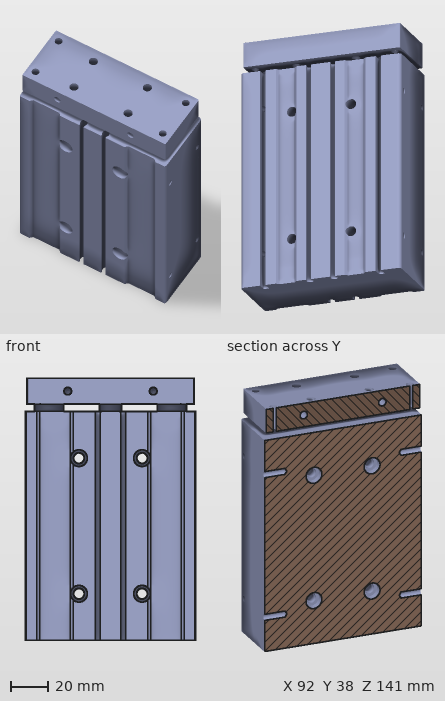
import cadquery as cq
import math

total_height = 141
plate_thickness = 14.0
rod_gap = 4.0
housing_height = total_height - plate_thickness - rod_gap
housing_width = 92.0
housing_depth = 38
half_width = housing_width / 2
half_depth = housing_depth / 2
corner_radius = 2.0
front_trim = 0.4

groove_depth = 1.5
front_groove_inner = 20.2
front_groove_outer = 39.6
back_groove_inner = 13.8
back_groove_outer = 25.7

sensor_slot_x = 6.9
sensor_slot_width = 2.8
sensor_bore_diameter = 4.0
sensor_bore_depth = 2.5
plain_slot_x = 33.1
plain_slot_width = 3.1
plain_slot_depth = 5.6

mount_x = 16.99
mount_end_distance = 25.1
mount_diameter = 5.6
mount_bore_diameter = 9.0
mount_bore_depth = 9.0

drill_point_angle = 118
side_hole_y = 14.0
side_hole_end_distance = 20.0
side_hole_diameter = 3.2
side_hole_depth = 12.0
plate_front_hole_x = 23.0
plate_front_hole_diameter = 4.1
plate_front_hole_depth = 8.5

plate_width = 90.0
plate_depth = 35.0
plate_corner_radius = 0.5
guide_rod_x = 33.0
guide_rod_diameter = 16.0
piston_rod_diameter = 12.0
centre_hole_spacing = (2 * mount_x, 20.0)
centre_hole_diameter = 5.0
corner_hole_spacing = (80.0, 24)
corner_hole_diameter = 4.2


def drill(diameter, depth, start, direction):
    """Blind drilled hole with a conical end, as a cutting tool."""
    radius = diameter / 2
    point_length = radius / math.tan(math.radians(drill_point_angle / 2))
    profile = (
        cq.Workplane("XZ")
        .polyline([(0, 0), (radius, 0), (radius, depth), (0, depth + point_length)])
        .close()
        .revolve(360, (0, 0), (0, 1))
    )
    plane = cq.Plane(origin=start, normal=direction)
    return cq.Workplane(obj=profile.val().moved(cq.Location(plane)))


def wide_groove(side, face, inner, outer):
    """Trapezoidal groove on one side (-1 or 1) of the front (-1) or back (1) face."""
    mouth_y = face * half_depth
    floor_y = face * (half_depth - groove_depth)
    return (
        cq.Workplane("XY")
        .polyline([
            (side * inner, mouth_y),
            (side * (inner + groove_depth), floor_y),
            (side * (outer - groove_depth), floor_y),
            (side * outer, mouth_y),
        ])
        .close()
        .extrude(housing_height)
    )


def straight_slot(x, face, width, depth):
    """Parallel-walled slot in the front (-1) or back (1) face."""
    centre_y = face * (half_depth - depth / 2)
    return cq.Workplane("XY").center(x, centre_y).rect(width, depth).extrude(housing_height)


def sensor_slot(x, face):
    """Narrow throat opening into a round bore."""
    bore_y = face * (half_depth - sensor_bore_depth)
    bore = cq.Workplane("XY").center(x, bore_y).circle(sensor_bore_diameter / 2).extrude(housing_height)
    return straight_slot(x, face, sensor_slot_width, sensor_bore_depth).union(bore)


def mount_hole(x, z):
    """Through hole along Y with a counterbore at the front face."""
    front = cq.Workplane("XZ", origin=(x, -half_depth, z))
    bore = front.circle(mount_bore_diameter / 2).extrude(-mount_bore_depth)
    return front.circle(mount_diameter / 2).extrude(-housing_depth).union(bore)


def make_housing():
    housing = (
        cq.Workplane("XY", origin=(0, -front_trim / 2, 0))
        .box(housing_width, housing_depth + front_trim, housing_height, centered=(True, True, False))
        .edges("|Z")
        .fillet(corner_radius)
    )
    trim = (
        cq.Workplane("XY")
        .center(0, -half_depth - front_trim / 2)
        .rect(housing_width, front_trim)
        .extrude(housing_height)
    )
    housing = housing.cut(trim)

    for side in (-1, 1):
        housing = housing.cut(wide_groove(side, -1, front_groove_inner, front_groove_outer))
        housing = housing.cut(wide_groove(side, 1, back_groove_inner, back_groove_outer))
        housing = housing.cut(straight_slot(side * plain_slot_x, 1, plain_slot_width, plain_slot_depth))
        for face in (-1, 1):
            housing = housing.cut(sensor_slot(side * sensor_slot_x, face))

    for x in (-mount_x, mount_x):
        for z in (mount_end_distance, housing_height - mount_end_distance):
            housing = housing.cut(mount_hole(x, z))

    for side in (-1, 1):
        for y in (-side_hole_y, side_hole_y):
            for z in (side_hole_end_distance, housing_height - side_hole_end_distance):
                start = (side * half_width, y, z)
                housing = housing.cut(drill(side_hole_diameter, side_hole_depth, start, (-side, 0, 0)))
    return housing


def make_slide():
    plate_bottom = housing_height + rod_gap
    slide = (
        cq.Workplane("XY", origin=(0, 0, plate_bottom))
        .box(plate_width, plate_depth, plate_thickness, centered=(True, True, False))
        .edges("|Z")
        .fillet(plate_corner_radius)
    )

    hole_patterns = (
        (centre_hole_spacing, centre_hole_diameter),
        (corner_hole_spacing, corner_hole_diameter),
    )
    for (spacing_x, spacing_y), diameter in hole_patterns:
        holes = (
            cq.Workplane("XY", origin=(0, 0, plate_bottom))
            .rarray(spacing_x, spacing_y, 2, 2)
            .circle(diameter / 2)
            .extrude(plate_thickness)
        )
        slide = slide.cut(holes)

    for x in (-plate_front_hole_x, plate_front_hole_x):
        start = (x, -plate_depth / 2, plate_bottom + plate_thickness / 2)
        slide = slide.cut(drill(plate_front_hole_diameter, plate_front_hole_depth, start, (0, 1, 0)))

    rods = ((-guide_rod_x, guide_rod_diameter), (0, piston_rod_diameter), (guide_rod_x, guide_rod_diameter))
    for x, diameter in rods:
        rod = cq.Workplane("XY", origin=(x, 0, housing_height)).circle(diameter / 2).extrude(rod_gap)
        slide = slide.union(rod)
    return slide


housing = make_housing()
slide = make_slide()
result = cq.Compound.makeCompound([housing.val(), slide.val()])